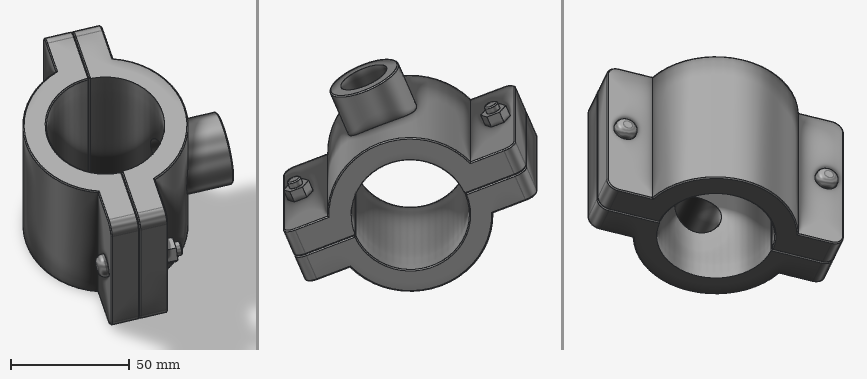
import cadquery as cq
import math

CLAMP_WIDTH = 106.0
CLAMP_HEIGHT = 73.0
BARREL_RADIUS = 35.0
BORE_RADIUS = 25.0
EAR_THICKNESS = 12.5
EAR_CORNER_RADIUS = 5.3
EDGE_BREAK = 0.5

BRANCH_DIAMETER = 31.4
BRANCH_HOLE_DIAMETER = 21.0
BRANCH_END = 52.0

BOLT_OFFSET = 45.0
SHANK_DIAMETER = 6.0
SHANK_END = 20.5
HEAD_DIAMETER = 10.0
HEAD_HEIGHT = 3.9
HEAD_ROUND = 3.0
NUT_ACROSS_FLATS = 10.0
NUT_TURN = 30
NUT_HEIGHT = 5.0

PARALLEL = 0.99


def cylinder_along_y(diameter, start, end, x=0):
    """Solid cylinder parallel to Y, at mid height, between two Y positions."""
    return cq.Workplane("XZ", origin=(x, start, 0)).circle(diameter / 2).extrude(start - end)


def is_broken_edge(edge, bore_rims_broken):
    """Tell the sharp edges of a half from its seams, inner corners and unbroken bore rims."""
    middle = edge.positionAt(0.5)
    direction = edge.tangentAt(0.5)
    radius = math.hypot(middle.x, middle.y)
    runs_along_y = abs(direction.y) > PARALLEL
    runs_along_z = abs(direction.z) > PARALLEL
    at_inner_corner = runs_along_z and math.isclose(radius, BARREL_RADIUS)
    on_bore_rim = not runs_along_z and math.isclose(radius, BORE_RADIUS)
    if on_bore_rim:
        return bore_rims_broken
    return not runs_along_y and not at_inner_corner


def clamp_half(bore_rims_broken):
    """The +Y half of the clamp with its edges broken."""
    barrel = cq.Workplane("XY").circle(BARREL_RADIUS).extrude(CLAMP_HEIGHT / 2, both=True)
    ears = (
        cq.Workplane("XY")
        .box(CLAMP_WIDTH, 2 * EAR_THICKNESS, CLAMP_HEIGHT)
        .edges("|Y")
        .fillet(EAR_CORNER_RADIUS)
    )
    bore = cq.Workplane("XY").circle(BORE_RADIUS).extrude(CLAMP_HEIGHT / 2, both=True)
    y_side = cq.Workplane("XY").box(
        CLAMP_WIDTH, BARREL_RADIUS, CLAMP_HEIGHT, centered=(True, False, True)
    )
    half = barrel.union(ears).cut(bore).intersect(y_side)
    edges = half.edges().filter(lambda edge: is_broken_edge(edge, bore_rims_broken))
    return edges.chamfer(EDGE_BREAK)


def branch():
    """Round stub running out from the barrel wall, outer rim broken."""
    stub = cylinder_along_y(BRANCH_DIAMETER, (BORE_RADIUS + BARREL_RADIUS) / 2, BRANCH_END)
    return stub.faces(">Y").edges().chamfer(EDGE_BREAK)


def bolt(x):
    """Button head, shank and hexagon nut of one clamping bolt."""
    shank = cylinder_along_y(SHANK_DIAMETER, -EAR_THICKNESS, SHANK_END, x)
    shank = shank.faces(">Y").edges().chamfer(EDGE_BREAK)
    head = cylinder_along_y(HEAD_DIAMETER, -EAR_THICKNESS - HEAD_HEIGHT, -EAR_THICKNESS, x)
    head = head.faces("<Y").edges().fillet(HEAD_ROUND)
    nut = (
        cq.Workplane("XZ", origin=(x, EAR_THICKNESS, 0))
        .polygon(6, NUT_ACROSS_FLATS, circumscribed=True)
        .extrude(-NUT_HEIGHT)
        .rotate((x, 0, 0), (x, 1, 0), NUT_TURN)
    )
    return shank.union(head).union(nut)


clamp = clamp_half(bore_rims_broken=False).union(branch())
clamp = clamp.cut(cylinder_along_y(BRANCH_HOLE_DIAMETER, 0, BRANCH_END))
clamp = clamp.union(clamp_half(bore_rims_broken=True).mirror("XZ"))
for side in (-1, 1):
    clamp = clamp.union(bolt(side * BOLT_OFFSET))

result = clamp